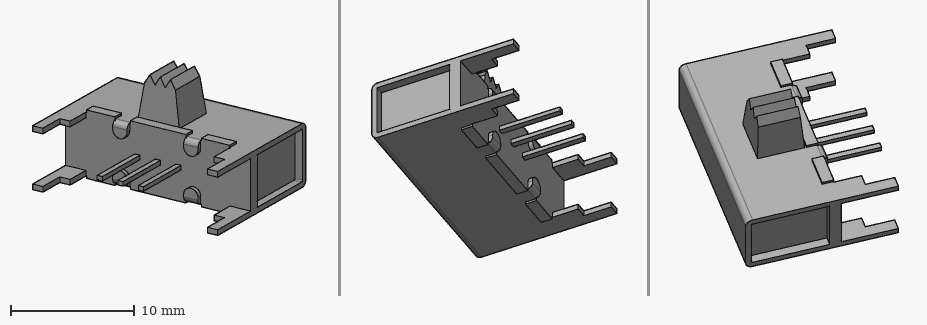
import cadquery as cq


HOUSING_LENGTH = 18.0
HOUSING_HEIGHT = 5.6
HOUSING_BACK_Y = 8.15
SHEET = 0.5
BEND_RADIUS = 0.6
INNER_BEND_RADIUS = BEND_RADIUS - SHEET
END_RECESS_DEPTH = 0.75

PLATE_THICKNESS = 1.0
TAB_HEIGHT = 6.0
TAB_CLEARANCE = 0.05

LEG_ROOT_WIDTH = 2.0
LEG_TIP_WIDTH = 1.0
LEG_STEP_Y = -2.35
LEG_END_Y = -4.85

CLIP_WIDTH = 1.4
CLIP_CENTER_X = 3.45
CLIP_THICKNESS = 0.4
CLIP_BEND_RADIUS = 0.5
CLIP_LENGTH = 1.4

PIN_COUNT = 3
PIN_PITCH = 2.0
PIN_WIDTH = 0.5
PIN_HEIGHT = 0.4
PIN_END_Y = -5.55

KNOB_CENTER_X = -0.7
KNOB_CENTER_Y = 3.15
KNOB_BASE = 4.0
KNOB_TOP_DEPTH = 3.5
KNOB_TOP_Z = 6.8
TOOTH_COUNT = 3
TOOTH_PITCH = 1.0
TOOTH_HEIGHT = 0.8

HALF_LENGTH = HOUSING_LENGTH / 2
TOP_Z = HOUSING_HEIGHT / 2
SHEET_INNER_Z = TOP_Z - SHEET
LEG_INNER_X = HALF_LENGTH - LEG_ROOT_WIDTH


def box(x_range, y_range, z_range):
    """Box spanning the given (start, end) pairs."""
    size = [end - start for start, end in (x_range, y_range, z_range)]
    return cq.Workplane("XY").box(*size, centered=False).translate((x_range[0], y_range[0], z_range[0]))


def mirror_to_bottom(shape):
    """The shape together with its mirror image below Z = 0."""
    return shape.union(shape.mirror("XY"))


def make_shell_and_core():
    """Solid housing block with rounded back edges and a shallow recess in each end."""
    body = box((-HALF_LENGTH, HALF_LENGTH), (0, HOUSING_BACK_Y), (-TOP_Z, TOP_Z))
    body = body.edges("|X and >Y").fillet(BEND_RADIUS)
    recess = box(
        (HALF_LENGTH - END_RECESS_DEPTH, HALF_LENGTH),
        (PLATE_THICKNESS, HOUSING_BACK_Y - SHEET),
        (-SHEET_INNER_Z, SHEET_INNER_Z),
    )
    recess = recess.edges("|X and >Y").fillet(INNER_BEND_RADIUS)
    return body.cut(recess).cut(recess.mirror("YZ"))


def clip_x_range(center_x):
    return (center_x - CLIP_WIDTH / 2, center_x + CLIP_WIDTH / 2)


def make_clip_notch(center_x):
    """Space in the front edge of the top sheet that a clip fills."""
    return box(clip_x_range(center_x), (0, PLATE_THICKNESS), (SHEET_INNER_Z, TOP_Z))


def make_tabs():
    """Top tabs of the base plate: one between the clips and one outside each of them."""
    half_slot = CLIP_WIDTH / 2 + TAB_CLEARANCE
    inner_end = CLIP_CENTER_X - half_slot
    outer_start = CLIP_CENTER_X + half_slot
    outer_end = LEG_INNER_X - TAB_CLEARANCE
    y_range = (0, PLATE_THICKNESS)
    z_range = (SHEET_INNER_Z, TAB_HEIGHT / 2)
    outer_tab = box((outer_start, outer_end), y_range, z_range)
    middle_tab = box((-inner_end, inner_end), y_range, z_range)
    return middle_tab.union(outer_tab).union(outer_tab.mirror("YZ"))


def make_clip(center_x):
    """Top strip that bends down over the base plate and ends in a half circle."""
    half_width = CLIP_WIDTH / 2
    x_range = clip_x_range(center_x)
    strip = box(x_range, (-CLIP_THICKNESS, PLATE_THICKNESS), (SHEET_INNER_Z, TOP_Z))
    arc_start_z = TOP_Z - CLIP_LENGTH + half_width
    flap = (
        cq.Workplane("XZ")
        .moveTo(x_range[0], TOP_Z)
        .lineTo(x_range[0], arc_start_z)
        .threePointArc((center_x, TOP_Z - CLIP_LENGTH), (x_range[1], arc_start_z))
        .lineTo(x_range[1], TOP_Z)
        .close()
        .extrude(CLIP_THICKNESS)
    )
    return strip.union(flap).edges("|X and <Y and >Z").fillet(CLIP_BEND_RADIUS)


def make_leg():
    """Stepped leg that continues the top sheet at the +X end."""
    z_range = (SHEET_INNER_Z, TOP_Z)
    root = box((LEG_INNER_X, HALF_LENGTH), (LEG_STEP_Y, 0), z_range)
    tip = box((HALF_LENGTH - LEG_TIP_WIDTH, HALF_LENGTH), (LEG_END_Y, 0), z_range)
    return root.union(tip)


def make_pin(center_x):
    half_width = PIN_WIDTH / 2
    half_height = PIN_HEIGHT / 2
    return box(
        (center_x - half_width, center_x + half_width),
        (PIN_END_Y, 0),
        (-half_height, half_height),
    )


def make_knob():
    """Knob tapered in X and Y: a toothed X-Z outline trimmed by a Y-Z trapezoid."""
    half_base = KNOB_BASE / 2
    half_grip = TOOTH_COUNT * TOOTH_PITCH / 2
    valley_z = KNOB_TOP_Z - TOOTH_HEIGHT
    outline = [(-half_base, TOP_Z), (-half_grip, valley_z)]
    for tooth in range(TOOTH_COUNT):
        tooth_start = -half_grip + tooth * TOOTH_PITCH
        outline.append((tooth_start + TOOTH_PITCH / 2, KNOB_TOP_Z))
        outline.append((tooth_start + TOOTH_PITCH, valley_z))
    outline.append((half_base, TOP_Z))
    toothed = cq.Workplane("XZ").polyline(outline).close().extrude(half_base, both=True)

    half_top = KNOB_TOP_DEPTH / 2
    trapezoid = [
        (-half_base, TOP_Z),
        (-half_top, KNOB_TOP_Z),
        (half_top, KNOB_TOP_Z),
        (half_base, TOP_Z),
    ]
    taper = cq.Workplane("YZ").polyline(trapezoid).close().extrude(half_base, both=True)
    return toothed.intersect(taper).translate((KNOB_CENTER_X, KNOB_CENTER_Y, 0))


leg = make_leg()
body = make_shell_and_core()
sheet_details = make_tabs().union(leg).union(leg.mirror("YZ"))
for clip_x in (-CLIP_CENTER_X, CLIP_CENTER_X):
    body = body.cut(mirror_to_bottom(make_clip_notch(clip_x)))
    sheet_details = sheet_details.union(make_clip(clip_x))

result = body.union(mirror_to_bottom(sheet_details))

for pin in range(PIN_COUNT):
    result = result.union(make_pin((pin - (PIN_COUNT - 1) / 2) * PIN_PITCH))

result = result.union(make_knob())